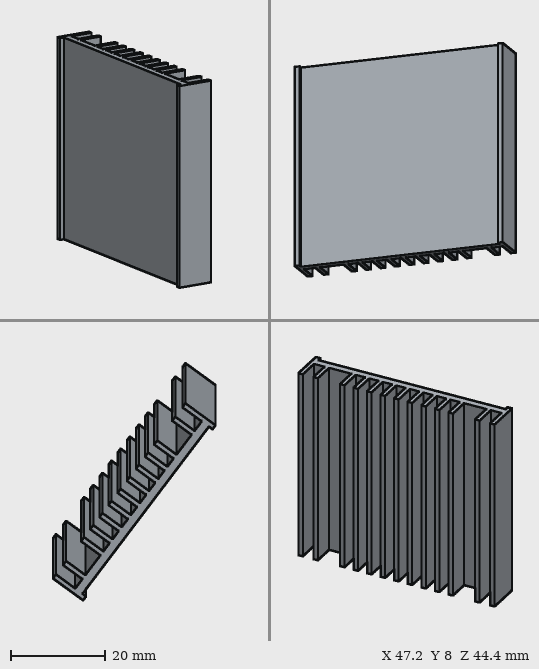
import cadquery as cq

width = 47.2
depth = 8.0
height = 44.4
wall = 1.1
lip_depth = 0.95
base_thickness = 1.95
fin_pitch = 3.25
central_fin_count = 9
outer_fin_offset = 19.45


def block(center_x, size_x, front_y, back_y):
    """Full-height block centred on center_x, between two Y positions."""
    size_y = back_y - front_y
    return cq.Workplane("XY").box(size_x, size_y, height, centered=(True, False, False)).translate(
        (center_x, front_y, 0)
    )


base_front = lip_depth
base_back = base_front + base_thickness
result = block(0, width, base_front, base_back)

side_wall_x = (width - wall) / 2
for x in (-side_wall_x, side_wall_x):
    result = result.union(block(x, wall, 0, depth))

central_fins = [(i - (central_fin_count - 1) / 2) * fin_pitch for i in range(central_fin_count)]
for x in central_fins + [-outer_fin_offset, outer_fin_offset]:
    result = result.union(block(x, wall, base_front, depth))